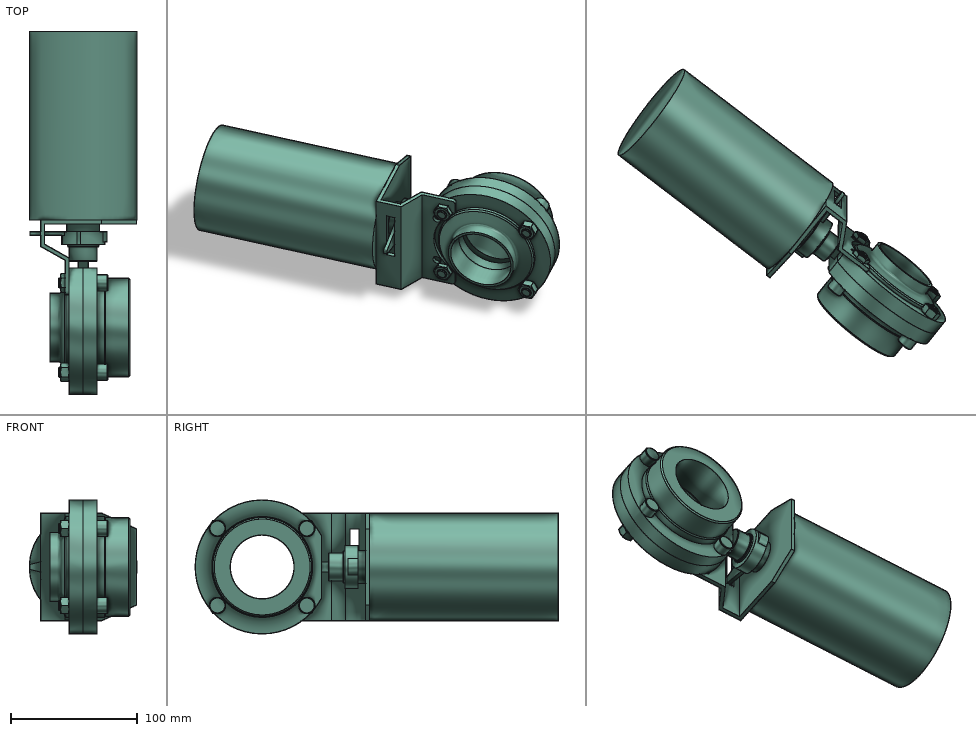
import cadquery as cq
import math


BORE_DIAMETER = 50.0
FLANGE_DIAMETER = 105.5
FLANGE_THICKNESS = 22.0
FLANGE_HALF_THICKNESS = FLANGE_THICKNESS / 2
FLANGE_FLAT_Y = 47.0
LIP_DIAMETER = 79.5
LIP_RADIUS = LIP_DIAMETER / 2
TUBE_DIAMETER = 54.0
TUBE_END_X = -26.3
CONE_START_X = -17.5
CONE_END_X = -14.5
TUBE_FILLET = 2.5
LIP_START_X = -13.5
EDGE_CHAMFER = 1.1
RING_DIAMETER = 77.8
RING_START_X = 17.7
RING_END_X = 37.0

SEAT_DIAMETER = 63.8
SEAT_START_X = -7.0
SEAT_END_X = 7.2
SEAL_END_X = 2.0

BOLT_Y = 35.2
BOLT_Z = 30.3
BOLT_DIAMETER = 8.0
BOLT_TIP_DIAMETER = 6.5
BOLT_TIP_X = -19.5
NUT_ACROSS_FLATS = 13.0
NUT_FACE_DIAMETER = 12.0
NUT_END_X = -18.0
NUT_BEVEL_ANGLE = 30
NUT_SIDES = 6
HEAD_DIAMETER = 13.0
HEAD_END_X = 19.5
HEAD_CHAMFER = 0.5

ACTUATOR_DIAMETER = 85.0
ACTUATOR_START_Y = 84.7
OVERALL_LENGTH = 286.2
ACTUATOR_END_Y = OVERALL_LENGTH - FLANGE_DIAMETER / 2
BOSS_DIAMETER = 26.0

SHEET_THICKNESS = 3.1
BRACKET_WIDTH = ACTUATOR_DIAMETER
PLATE_END_X = 42.0
PLATE_TAPER_START_X = 14.3
PLATE_END_WIDTH = 60.0
LEG_X = -33.5
LEG_BEND_Y = 63.8
FOOT_X = -FLANGE_HALF_THICKNESS - SHEET_THICKNESS
FOOT_BEND_Y = 53.0
FOOT_END_Y = 25.8
FOOT_CORNER_RADIUS = 2.3
CUTOUT_DIAMETER = 63.8
CUTOUT_Y = 11.5
CUTOUT_CORNER_RADIUS = 5.7
SPARE_HOLE_DIAMETER = 6.5
SPARE_HOLE_Y = 40.5
SPARE_HOLE_Z = 21.2
SLOT_START_Y = 69.2
SLOT_END_Y = 76.0
SLOT_BOTTOM_Z = -10.0
SLOT_TOP_Z = 29.8

STEM_WIDTH = 8.0
STEM_START_Y = 35.8
COUPLING_DIAMETER = 22.0
COUPLING_START_Y = 52.0
COUPLING_CHAMFER = 0.5
COLLAR_DIAMETER = 25.0
COLLAR_START_Y = 63.5

CLAMP_DIAMETER = 34.0
CLAMP_START_Y = 65.2
CLAMP_END_Y = 75.5
CLAMP_GROOVE_WIDTH = 2.5
CLAMP_GROOVE_DEPTH = 2.3
CLAMP_GROOVE_OFFSET = 3.5
EAR_END_X = 19.0
EAR_START_Y = 67.5
EAR_WIDTH = 16.5
POINTER_TIP_X = -42.0
POINTER_TIP_WIDTH = 4.0
POINTER_TIP_FILLET = 1.5
POINTER_BASE_X = -13.7
POINTER_BASE_WIDTH = 17.7
POINTER_THICKNESS = 3.0


def cylinder_along_x(diameter, start_x, end_x, y=0, z=0):
    return cq.Workplane("YZ", origin=(start_x, y, z)).circle(diameter / 2).extrude(end_x - start_x)


def cylinder_along_y(diameter, start_y, end_y):
    return cq.Workplane("XZ", origin=(0, start_y, 0)).circle(diameter / 2).extrude(start_y - end_y)


def block(x_limits, y_limits, z_limits):
    """Box between pairs of limits along X, Y and Z."""
    sizes = [high - low for low, high in (x_limits, y_limits, z_limits)]
    corner = (x_limits[0], y_limits[0], z_limits[0])
    return cq.Workplane("XY").box(*sizes, centered=False).translate(corner)


def revolved_about_x(points):
    return cq.Workplane("XY").polyline(points).close().revolve(360, (0, 0, 0), (1, 0, 0))


def square_stem():
    half = STEM_WIDTH / 2
    return block((-half, half), (STEM_START_Y, COUPLING_START_Y), (-half, half))


def flange_disc(start_x, end_x):
    """Round disc with a flat toward the actuator."""
    radius = FLANGE_DIAMETER / 2
    beyond_flat = block((start_x, end_x), (FLANGE_FLAT_Y, radius), (-radius, radius))
    return cylinder_along_x(FLANGE_DIAMETER, start_x, end_x).cut(beyond_flat)


def make_bolt(y, z):
    """Bolt with its round head on +X and its nut on -X."""
    nut_circle = NUT_ACROSS_FLATS / math.cos(math.pi / NUT_SIDES)
    nut_start_x = -FLANGE_HALF_THICKNESS
    hexagon = (
        cq.Workplane("YZ", origin=(nut_start_x, 0, 0))
        .polygon(NUT_SIDES, nut_circle)
        .extrude(NUT_END_X - nut_start_x)
    )
    bevel = (nut_circle - NUT_FACE_DIAMETER) / 2 * math.tan(math.radians(NUT_BEVEL_ANGLE))
    bevel_envelope = revolved_about_x([
        (NUT_END_X, 0),
        (NUT_END_X, NUT_FACE_DIAMETER / 2),
        (NUT_END_X + bevel, nut_circle / 2),
        (nut_start_x - bevel, nut_circle / 2),
        (nut_start_x, NUT_FACE_DIAMETER / 2),
        (nut_start_x, 0),
    ])
    shank = (
        cylinder_along_x(BOLT_DIAMETER, BOLT_TIP_X, FLANGE_HALF_THICKNESS)
        .faces("<X")
        .chamfer((BOLT_DIAMETER - BOLT_TIP_DIAMETER) / 2)
    )
    head = (
        cylinder_along_x(HEAD_DIAMETER, FLANGE_HALF_THICKNESS, HEAD_END_X)
        .faces(">X")
        .chamfer(HEAD_CHAMFER)
    )
    bolt = hexagon.intersect(bevel_envelope).union(shank).union(head)
    return bolt.translate((0, y, z))


def make_tube_half(bolts):
    """Half on -X: flange disc and a cone down to the pipe end."""
    tube_radius = TUBE_DIAMETER / 2
    neck = revolved_about_x([
        (TUBE_END_X, 0),
        (TUBE_END_X, tube_radius),
        (CONE_START_X, tube_radius),
        (CONE_END_X, LIP_RADIUS - EDGE_CHAMFER),
        (LIP_START_X, LIP_RADIUS),
        (-FLANGE_HALF_THICKNESS, LIP_RADIUS),
        (-FLANGE_HALF_THICKNESS, 0),
    ])
    cone_foot = cq.selectors.NearestToPointSelector((CONE_START_X, 0, 0))
    neck = neck.edges("%CIRCLE").edges(cone_foot).fillet(TUBE_FILLET)
    half = neck.union(flange_disc(-FLANGE_HALF_THICKNESS, 0))
    half = half.cut(cylinder_along_x(BORE_DIAMETER, TUBE_END_X, 0))
    half = half.cut(cylinder_along_x(SEAT_DIAMETER, SEAT_START_X, 0))
    for bolt in bolts:
        half = half.cut(bolt)
    return half.cut(square_stem())


def make_ring_half(bolts):
    """Half on +X: flange disc, bolts and the connection ring."""
    ring_radius = RING_DIAMETER / 2
    ring = revolved_about_x([
        (FLANGE_HALF_THICKNESS, 0),
        (FLANGE_HALF_THICKNESS, LIP_RADIUS),
        (RING_START_X - EDGE_CHAMFER, LIP_RADIUS),
        (RING_START_X, ring_radius),
        (RING_END_X - EDGE_CHAMFER, ring_radius),
        (RING_END_X, ring_radius - EDGE_CHAMFER),
        (RING_END_X, 0),
    ])
    half = ring.union(flange_disc(0, FLANGE_HALF_THICKNESS))
    half = half.cut(cylinder_along_x(BORE_DIAMETER, 0, RING_END_X))
    half = half.cut(cylinder_along_x(SEAT_DIAMETER, 0, SEAT_END_X))
    half = half.cut(square_stem())
    for bolt in bolts:
        half = half.union(bolt)
    return half


def make_seal():
    seal = cylinder_along_x(SEAT_DIAMETER, SEAT_START_X, SEAL_END_X)
    return seal.cut(cylinder_along_x(BORE_DIAMETER, SEAT_START_X, SEAL_END_X))


def make_bracket(bolts):
    half_width = BRACKET_WIDTH / 2
    plate_y = ACTUATOR_START_Y - SHEET_THICKNESS
    bend_angle = math.atan2(FOOT_X - LEG_X, LEG_BEND_Y - FOOT_BEND_Y)
    bend_shift = SHEET_THICKNESS * math.tan(bend_angle / 2)
    bracket = (
        cq.Workplane("XY")
        .polyline([
            (PLATE_END_X, ACTUATOR_START_Y),
            (LEG_X, ACTUATOR_START_Y),
            (LEG_X, LEG_BEND_Y),
            (FOOT_X, FOOT_BEND_Y),
            (FOOT_X, FOOT_END_Y),
            (FOOT_X + SHEET_THICKNESS, FOOT_END_Y),
            (FOOT_X + SHEET_THICKNESS, FOOT_BEND_Y + bend_shift),
            (LEG_X + SHEET_THICKNESS, LEG_BEND_Y + bend_shift),
            (LEG_X + SHEET_THICKNESS, plate_y),
            (PLATE_END_X, plate_y),
        ])
        .close()
        .extrude(half_width, both=True)
    )
    bracket = bracket.edges("|X and <Y").fillet(FOOT_CORNER_RADIUS)

    bracket = bracket.cut(cylinder_along_x(CUTOUT_DIAMETER, FOOT_X, 0, CUTOUT_Y))
    cutout_radius = CUTOUT_DIAMETER / 2
    cutout_ends = cq.selectors.BoxSelector(
        (LEG_X, FOOT_BEND_Y, -cutout_radius),
        (0, 0, cutout_radius),
    )
    bracket = bracket.edges("|X").edges(cutout_ends).fillet(CUTOUT_CORNER_RADIUS)
    bracket = bracket.cut(cylinder_along_x(LIP_DIAMETER, FOOT_X, 0))

    for side in (1, -1):
        corner = (
            cq.Workplane("XZ", origin=(0, ACTUATOR_START_Y, 0))
            .polyline([
                (PLATE_TAPER_START_X, side * half_width),
                (PLATE_END_X, side * half_width),
                (PLATE_END_X, side * PLATE_END_WIDTH / 2),
            ])
            .close()
            .extrude(SHEET_THICKNESS)
        )
        spare_hole = cylinder_along_x(SPARE_HOLE_DIAMETER, FOOT_X, 0, SPARE_HOLE_Y, side * SPARE_HOLE_Z)
        bracket = bracket.cut(corner).cut(spare_hole)

    slot = block(
        (LEG_X, LEG_X + SHEET_THICKNESS),
        (SLOT_START_Y, SLOT_END_Y),
        (SLOT_BOTTOM_Z, SLOT_TOP_Z),
    )
    bracket = bracket.cut(slot).cut(cylinder_along_y(BOSS_DIAMETER, plate_y, ACTUATOR_START_Y))
    for bolt in bolts:
        bracket = bracket.cut(bolt)
    return bracket


def make_actuator():
    barrel = cylinder_along_y(ACTUATOR_DIAMETER, ACTUATOR_START_Y, ACTUATOR_END_Y)
    return barrel.union(cylinder_along_y(BOSS_DIAMETER, CLAMP_END_Y, ACTUATOR_START_Y))


def make_coupling():
    body = (
        cylinder_along_y(COUPLING_DIAMETER, COUPLING_START_Y, COLLAR_START_Y)
        .faces("<Y")
        .chamfer(COUPLING_CHAMFER)
    )
    collar = (
        cylinder_along_y(COLLAR_DIAMETER, COLLAR_START_Y, CLAMP_END_Y)
        .faces("<Y")
        .chamfer(COUPLING_CHAMFER)
    )
    return body.union(collar).union(square_stem())


def make_indicator():
    """Grooved clamp ring with a rounded ear on +X and a pointer on -X."""
    radius = CLAMP_DIAMETER / 2
    clamp = cylinder_along_y(CLAMP_DIAMETER, CLAMP_START_Y, CLAMP_END_Y)
    height = (CLAMP_START_Y, CLAMP_END_Y)
    near = CLAMP_GROOVE_OFFSET - CLAMP_GROOVE_WIDTH / 2
    far = CLAMP_GROOVE_OFFSET + CLAMP_GROOVE_WIDTH / 2
    floor = radius - CLAMP_GROOVE_DEPTH
    clamp = clamp.cut(block((-radius, -floor), height, (near, far)))
    clamp = clamp.cut(block((-far, -near), height, (floor, radius)))
    ear_radius = EAR_WIDTH / 2
    ear_center_x = EAR_END_X - ear_radius
    ear_end = cylinder_along_y(EAR_WIDTH, EAR_START_Y, CLAMP_END_Y).translate((ear_center_x, 0, 0))
    ear = block((0, ear_center_x), (EAR_START_Y, CLAMP_END_Y), (-ear_radius, ear_radius)).union(ear_end)
    pointer = (
        cq.Workplane("XZ", origin=(0, CLAMP_END_Y, 0))
        .polyline([
            (POINTER_TIP_X, -POINTER_TIP_WIDTH / 2),
            (POINTER_TIP_X, POINTER_TIP_WIDTH / 2),
            (POINTER_BASE_X, POINTER_BASE_WIDTH / 2),
            (POINTER_BASE_X, -POINTER_BASE_WIDTH / 2),
        ])
        .close()
        .extrude(POINTER_THICKNESS)
        .edges("|Y and <X")
        .fillet(POINTER_TIP_FILLET)
    )
    indicator = clamp.union(ear).union(pointer)
    return indicator.cut(cylinder_along_y(COLLAR_DIAMETER, *height))


flange_bolts = [make_bolt(y_side * BOLT_Y, z_side * BOLT_Z) for y_side in (1, -1) for z_side in (1, -1)]
tube_half = make_tube_half(flange_bolts)
ring_half = make_ring_half(flange_bolts)
bracket = make_bracket(flange_bolts)
actuator = make_actuator()
coupling = make_coupling()
indicator = make_indicator()
seal = make_seal()

result = cq.Compound.makeCompound([
    tube_half.val(),
    ring_half.val(),
    bracket.val(),
    actuator.val(),
    coupling.val(),
    indicator.val(),
    seal.val(),
])